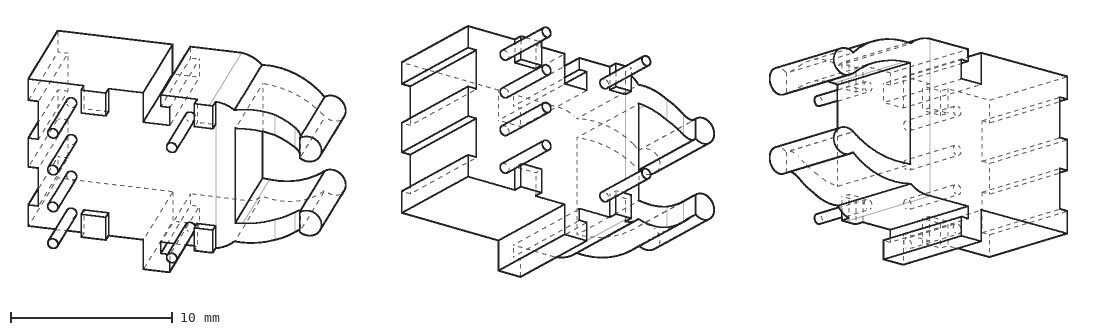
import cadquery as cq
import math

overall_length = 18.8
block_height = 10.15
block_depth = 7.0
hook_height = 2.03
block_top = hook_height + block_height
mid_z = hook_height + block_height / 2

end_wall_x = 13.2
corner_start_x = 11.77
arm_root_x = 13.16

groove_depth = 0.64
groove_width = 2.61
rib_width = 2.0

hook_x = 7.37
hook_width = 1.7
hook_neck_width = 1.13
hook_neck_height = 0.79

foot_size = 1.58
foot_depth = 0.64
left_foot_x = 3.57
right_foot_length = 1.18
foot_end_x = 12.01

arm_outer_radius = 4.8
arm_outer_center_x = 14.0
arm_outer_top_z = 11.71
arm_inner_radius = 5.7
arm_inner_center_x = 13.65
arm_inner_top_z = 10.38
tip_radius = 0.86
tip_x = overall_length - tip_radius
tip_z = 9.66
tip_shoulder_x = 17.39

taper_angle = 10.0
taper_slope = math.tan(math.radians(taper_angle))
front_relief_depth = 0.64
relief_fillet_radius = 0.49
taper_end_x = foot_end_x + front_relief_depth / taper_slope

pin_diameter = 0.65
pin_length = 4.44
pin_pitch = 2.54
pins_in_row = 4
pin_row_x = 2.78
corner_pin_x = pin_row_x + (pins_in_row - 1) * pin_pitch
outer_pin_offset = (pins_in_row - 1) / 2 * pin_pitch


def box(x0, x1, y0, y1, z0, z1):
    """Axis-aligned block between two opposite corners."""
    return cq.Workplane("XY").box(x1 - x0, y1 - y0, z1 - z0, centered=False).translate((x0, y0, z0))


def through_depth(profile):
    """Extrude an XZ profile from the front face to the back face."""
    return profile.extrude(-block_depth)


def mirrored_pair(upper):
    """The given upper shape together with its mirror image below the middle plane."""
    lower = upper.translate((0, 0, -mid_z)).mirror("XY").translate((0, 0, mid_z))
    return upper.union(lower)


def arc_height(x, center_x, top_z, radius):
    """Height at x of an arc whose highest point is (center_x, top_z)."""
    return top_z - radius + math.sqrt(radius**2 - (x - center_x) ** 2)


def outer_arm_z(x):
    return arc_height(x, arm_outer_center_x, arm_outer_top_z, arm_outer_radius)


def inner_arm_z(x):
    return arc_height(x, arm_inner_center_x, arm_inner_top_z, arm_inner_radius)


def block():
    """Plain block whose two right corners are rounded down to the arm roots."""
    root_z = outer_arm_z(arm_root_x)
    upper_half = (
        cq.Workplane("XZ")
        .moveTo(0, mid_z)
        .lineTo(0, block_top)
        .lineTo(corner_start_x, block_top)
        .tangentArcPoint((arm_root_x, root_z), relative=False)
        .lineTo(end_wall_x, outer_arm_z(end_wall_x))
        .lineTo(end_wall_x, mid_z)
        .close()
    )
    return mirrored_pair(through_depth(upper_half))


def arms():
    """Upper and lower spring arms, each ending in a round tip."""
    outer_mid_x = (arm_root_x + tip_shoulder_x) / 2
    inner_mid_x = (arm_inner_center_x + tip_shoulder_x) / 2
    arm = (
        cq.Workplane("XZ")
        .moveTo(arm_root_x, arm_inner_top_z)
        .lineTo(arm_root_x, outer_arm_z(arm_root_x))
        .threePointArc((outer_mid_x, outer_arm_z(outer_mid_x)), (tip_shoulder_x, outer_arm_z(tip_shoulder_x)))
        .lineTo(tip_shoulder_x, inner_arm_z(tip_shoulder_x))
        .threePointArc((inner_mid_x, inner_arm_z(inner_mid_x)), (arm_inner_center_x, arm_inner_top_z))
        .close()
    )
    tip = cq.Workplane("XZ").center(tip_x, tip_z).circle(tip_radius)
    return mirrored_pair(through_depth(arm).union(through_depth(tip)))


def hook():
    """L-shaped hook hanging under the block."""
    neck_bottom = hook_height - hook_neck_height
    profile = (
        cq.Workplane("XZ")
        .moveTo(hook_x, 0)
        .lineTo(hook_x, hook_height)
        .lineTo(hook_x + hook_neck_width, hook_height)
        .lineTo(hook_x + hook_neck_width, neck_bottom)
        .lineTo(hook_x + hook_width, neck_bottom)
        .lineTo(hook_x + hook_width, 0)
        .close()
    )
    return through_depth(profile)


def hook_slot():
    """Slot in the block top that takes the hook of the next part."""
    return hook().translate((0, 0, block_height))


def left_grooves():
    """Two grooves along the left face, either side of the middle rib."""
    groove_bottom = mid_z + rib_width / 2
    return mirrored_pair(box(0, groove_depth, 0, block_depth, groove_bottom, groove_bottom + groove_width))


def feet():
    """Four standoff feet at the upper and lower edges of the front face."""
    foot_bottom = block_top - foot_size
    left = box(left_foot_x, left_foot_x + foot_size, -foot_depth, 0, foot_bottom, block_top)
    right = box(foot_end_x - right_foot_length, foot_end_x, -foot_depth, 0, foot_bottom, block_top)
    round_corner = block().translate((0, -block_depth, 0))
    return mirrored_pair(left.union(right.intersect(round_corner)))


def back_taper():
    """Wedge that slopes the back from the rounded corner out to the tips."""
    end_y = block_depth - taper_slope * (overall_length - corner_start_x)
    wedge = (
        cq.Workplane("XY")
        .moveTo(corner_start_x, block_depth)
        .lineTo(overall_length, block_depth)
        .lineTo(overall_length, end_y)
        .close()
    )
    return wedge.extrude(block_top)


def front_relief():
    """Sloped and filleted relief that sets the arms back but leaves the tips full length."""
    relief = (
        cq.Workplane("XY")
        .moveTo(foot_end_x, 0)
        .lineTo(taper_end_x, front_relief_depth)
        .lineTo(tip_shoulder_x - relief_fillet_radius, front_relief_depth)
        .radiusArc((tip_shoulder_x, front_relief_depth - relief_fillet_radius), relief_fillet_radius)
        .lineTo(tip_shoulder_x, 0)
        .close()
    )
    return relief.extrude(block_top)


def make_housing():
    body = block().union(arms()).union(hook())
    body = body.cut(hook_slot()).cut(left_grooves())
    body = body.cut(back_taper()).cut(front_relief())
    return body.union(feet()).solids()


def make_pin(x, z):
    """Round contact pin standing on the front face."""
    return cq.Workplane("XZ").center(x, z).circle(pin_diameter / 2).extrude(pin_length)


housing = make_housing()

pins = []
for row in range(pins_in_row):
    pins.append(make_pin(pin_row_x, mid_z + outer_pin_offset - row * pin_pitch))
for side in (1, -1):
    pins.append(make_pin(corner_pin_x, mid_z + side * outer_pin_offset))

result = cq.Compound.makeCompound([housing.val(), *[pin.val() for pin in pins]])